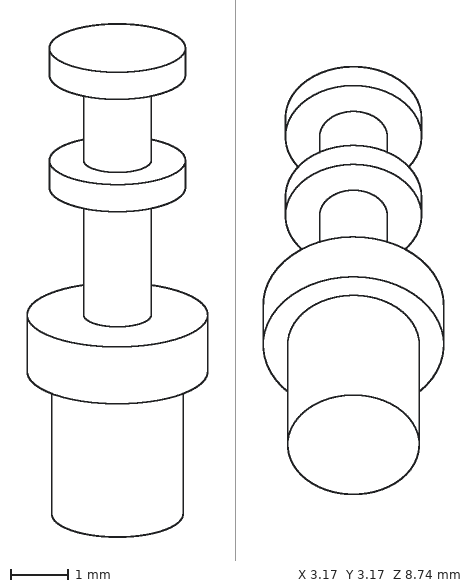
import cadquery as cq

shank_diameter = 2.31
flange_diameter = 3.17
stem_diameter = 1.19
collar_diameter = 2.39

shank_length = 2.667
flange_thickness = 1.067
lower_stem_length = 2.388
upper_stem_length = 1.6
collar_thickness = 0.508

sections = [
    (shank_diameter, shank_length),
    (flange_diameter, flange_thickness),
    (stem_diameter, lower_stem_length),
    (collar_diameter, collar_thickness),
    (stem_diameter, upper_stem_length),
    (collar_diameter, collar_thickness),
]


def stack_cylinders(sections, bottom_z):
    """Stack coaxial cylinders upward from bottom_z."""
    body = cq.Workplane("XY")
    section_z = bottom_z
    for diameter, length in sections:
        section = cq.Workplane("XY", origin=(0, 0, section_z)).circle(diameter / 2).extrude(length)
        body = body.union(section)
        section_z += length
    return body


result = stack_cylinders(sections, bottom_z=-shank_length)